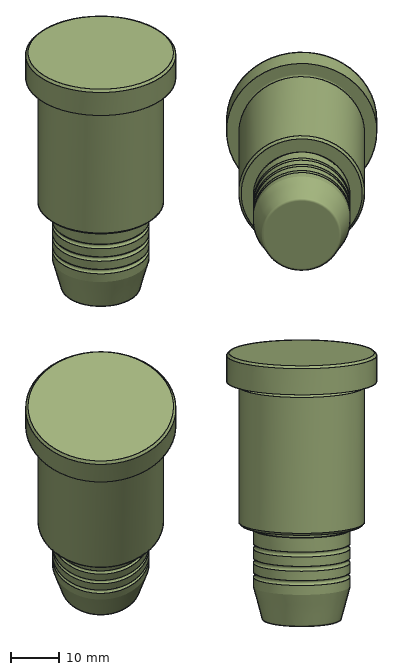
import cadquery as cq
import math

total_height = 56.0
head_diameter = 31.0
head_height = 6.0
body_diameter = 26.0
body_bottom = 20.0
shank_diameter = 20.0
shank_top = 19.0
edge_size = 0.5
taper_height = 7.0
taper_angle = 15.0
lowest_groove = 9.5
groove_pitch = 2.995
groove_count = 3

head_radius = head_diameter / 2
body_radius = body_diameter / 2
shank_radius = shank_diameter / 2
neck_radius = shank_radius - edge_size
head_bottom = total_height - head_height
tip_radius = shank_radius - taper_height * math.tan(math.radians(taper_angle))


def cylinder(radius, bottom, top):
    """Upright cylinder on the Z axis between two heights."""
    return cq.Workplane("XY").workplane(offset=bottom).circle(radius).extrude(top - bottom)


def round_groove(surface_radius, height):
    """Ring of circular section, centred on a cylindrical surface."""
    return cq.Workplane("XY").add(
        cq.Solid.makeTorus(surface_radius, edge_size, cq.Vector(0, 0, height))
    )


head = cylinder(head_radius, head_bottom, total_height).faces(">Z").chamfer(edge_size)

body = cylinder(body_radius, body_bottom, head_bottom).faces("<Z").chamfer(edge_size)
body = body.cut(round_groove(body_radius, head_bottom - edge_size))

neck = cylinder(neck_radius, shank_top, body_bottom)

shank = (
    cq.Workplane("XZ")
    .polyline([
        (0, 0),
        (tip_radius, 0),
        (shank_radius, taper_height),
        (shank_radius, shank_top),
        (0, shank_top),
    ])
    .close()
    .revolve(360, (0, 0), (0, 1))
    .faces("<Z")
    .edges()
    .fillet(edge_size)
)
for index in range(groove_count):
    shank = shank.cut(round_groove(shank_radius, lowest_groove + index * groove_pitch))

result = head.union(body).union(neck).union(shank)